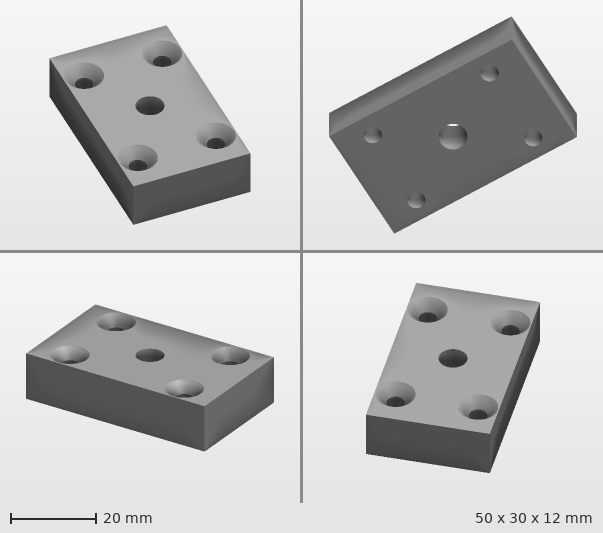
import cadquery as cq

length = 50
width = 30
height = 12

centre_hole_diameter = 6.8

screw_spacing_x = 32
screw_spacing_y = 20
screw_hole_diameter = 4.3
countersink_diameter = 9.4
countersink_angle = 90

block = cq.Workplane("XY").box(length, width, height)

with_centre_hole = block.faces(">Z").workplane().hole(centre_hole_diameter)

result = (
    with_centre_hole.faces(">Z")
    .workplane(origin=(0, 0, 0))
    .rarray(screw_spacing_x, screw_spacing_y, 2, 2)
    .cskHole(screw_hole_diameter, countersink_diameter, countersink_angle)
)